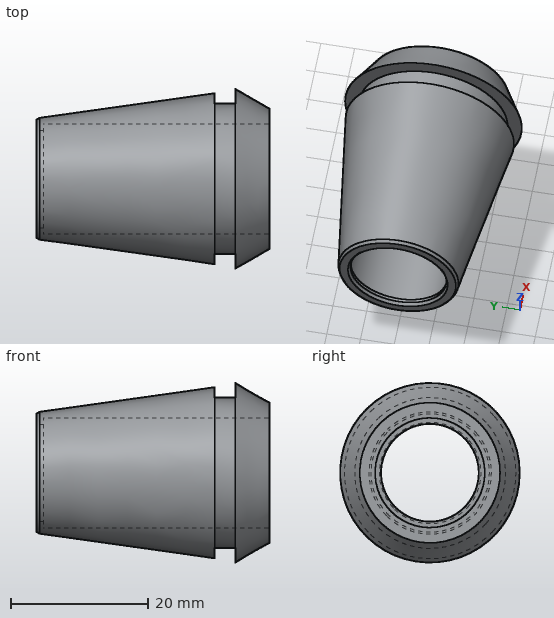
import cadquery as cq
import math


overall_length = 34.0
tip_bevel_length = 0.5
taper_end = 26.0
groove_width = 3.0
collar_start = taper_end + groove_width

taper_half_angle = math.radians(8.0)
collar_half_angle = math.radians(30.0)
tip_bevel_angle = math.radians(30.0)
taper_large_radius = 12.5
groove_radius = 11.0
collar_diameter = 26.23
collar_radius = collar_diameter / 2
taper_small_radius = taper_large_radius - (taper_end - tip_bevel_length) * math.tan(taper_half_angle)
tip_radius = taper_small_radius - tip_bevel_length * math.tan(tip_bevel_angle)
collar_end_radius = collar_radius - (overall_length - collar_start) * math.tan(collar_half_angle)

lip_start = 0.5
lip_end = 1.0
mouth_radius = 7.4
mouth_half_angle = math.radians(30.0)
lip_radius = mouth_radius - lip_start * math.tan(mouth_half_angle)
bore_radius = 8.0


def revolve_profile(points):
    """Revolve a closed (x, radius) outline about the X axis."""
    outline = cq.Workplane("XY").polyline(points).close()
    return outline.revolve(axisStart=(0, 0, 0), axisEnd=(1, 0, 0))


def make_sleeve():
    """Hollow sleeve: bevelled tip, taper, groove, collar and lipped bore."""
    outside = [
        (0, tip_radius),
        (tip_bevel_length, taper_small_radius),
        (taper_end, taper_large_radius),
        (taper_end, groove_radius),
        (collar_start, groove_radius),
        (collar_start, collar_radius),
        (overall_length, collar_end_radius),
    ]
    inside = [
        (overall_length, bore_radius),
        (lip_end, bore_radius),
        (lip_end, lip_radius),
        (lip_start, lip_radius),
        (0, mouth_radius),
    ]
    return revolve_profile(outside + inside)


result = make_sleeve()